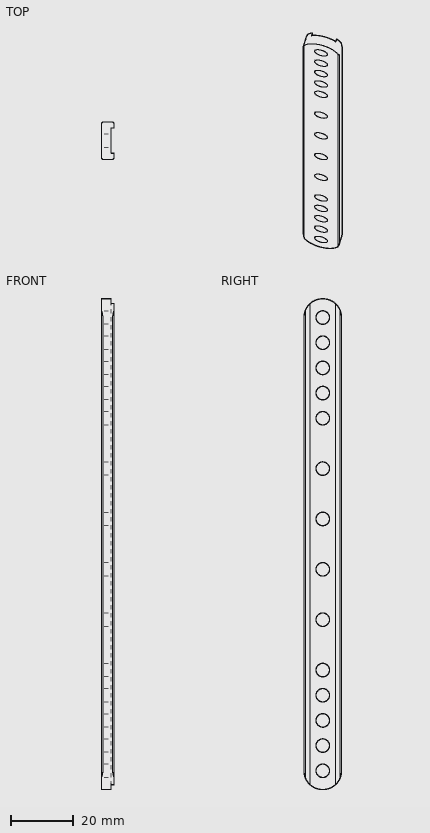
import cadquery as cq

length = 156.0
width = 12.0
thickness = 4.0

web_thickness = 3.1
lip_width = 2.0
edge_chamfer = 0.5

hole_diameter = 4.2
end_radius = width / 2
grid_steps = 18
hole_pitch = (length - 2 * end_radius) / grid_steps
skipped_steps = (5, 7, 9, 11, 13)


def chamfered_bar():
    """Full-length bar with its four long edges chamfered."""
    bar = cq.Workplane("XY").box(thickness, width, length)
    return bar.edges("|Z").chamfer(edge_chamfer)


def round_ended_envelope():
    """Slot-shaped outline that rounds both ends of the bar."""
    outline = cq.Workplane("YZ").slot2D(length, width, 90)
    return outline.extrude(thickness / 2, both=True)


def channel():
    """Full-length recess in the +X face, leaving a lip along each side."""
    depth = thickness - web_thickness
    recess = cq.Workplane("XY").box(depth, width - 2 * lip_width, length)
    return recess.translate(((thickness - depth) / 2, 0, 0))


def holes():
    """Through holes along the centreline, close together near the ends."""
    centres = [
        (0, (step - grid_steps / 2) * hole_pitch)
        for step in range(grid_steps + 1)
        if step not in skipped_steps
    ]
    drills = cq.Workplane("YZ").pushPoints(centres).circle(hole_diameter / 2)
    return drills.extrude(thickness, both=True)


result = chamfered_bar().intersect(round_ended_envelope()).cut(channel()).cut(holes())